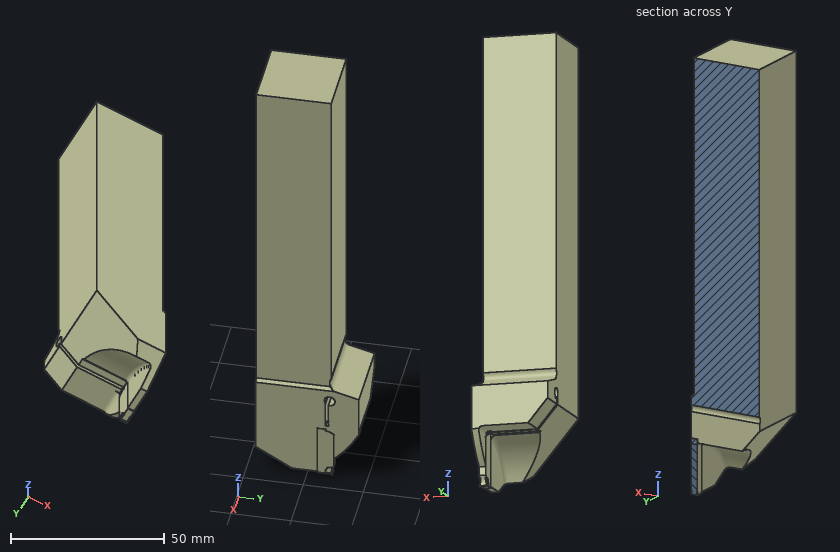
import cadquery as cq
import math

total_length = 150.0
shank_size = 25.0
head_width = 26.04
head_depth = 34.4

head_step_z = 34.0
head_step = head_width - shank_size

shoulder_angle = math.radians(15)
shoulder_outer_z = 31.85
neck_radius = 2.5
neck_tangent_y = 26.3

side_bevel_z = 26.2
side_bevel_angle = math.radians(40)
front_bevel_z = 7.8
front_bevel_angle = math.radians(30)
blade_bottom_z = 0.8

blade_face_x = 23.6
clearance_top_z = 18.3
clearance_radius = 22.0
clearance_center_y = 24.8
clearance_fillet = 1.5

jaw_bottom_z = 17.5
jaw_edge_end_z = 6.5
jaw_edge_bulge = 0.55

slot_front_y = 23.3
slot_width = 1.0
slot_bottom_z = 19.7
relief_hole_radius = 1.75
relief_hole_y = 24.7
relief_hole_z = 29.8

insert_front_y = 20.6
insert_back_y = 26.1
insert_bottom_z = 0.4
insert_corner_y = slot_front_y
insert_top_z = clearance_top_z
insert_shoulder_z = 17.7
insert_corner_z = 16.4
insert_corner_bulge = 0.25
pocket_back_y = 25.8
tip_y = 25.5
rake_top_z = 3.6
rake_step = 0.4
rake_bottom_z = 1.0
rake_hollow = 0.45
groove_front_y = 23.2
groove_top_front_y = 24.1
groove_top_z = 2.9
groove_bend_z = 1.4
groove_bottom_z = 0.7
groove_top_cut = 0.4
groove_bottom_cut = 0.15

cut_margin = 10.0


def bulged_middle(start, end, bulge):
    """Middle of an arc that bows out by `bulge` to the left of the line start -> end."""
    dy = end[0] - start[0]
    dz = end[1] - start[1]
    length = math.hypot(dy, dz)
    return (
        (start[0] + end[0]) / 2 - bulge * dz / length,
        (start[1] + end[1]) / 2 + bulge * dy / length,
    )


def side_outline():
    """Holder outline in the YZ plane, from the front bevel round to the shank top."""
    bevel_end_y = (front_bevel_z - blade_bottom_z) / math.tan(front_bevel_angle)
    jaw_edge_start = (insert_back_y, jaw_edge_end_z)
    jaw_edge_end = (head_depth, jaw_bottom_z)
    jaw_edge_middle = bulged_middle(jaw_edge_start, jaw_edge_end, -jaw_edge_bulge)

    tangent_z = shoulder_outer_z + (head_depth - neck_tangent_y) * math.tan(shoulder_angle)
    neck_center_y = neck_tangent_y + neck_radius * math.sin(shoulder_angle)
    neck_center_z = tangent_z + neck_radius * math.cos(shoulder_angle)
    neck_top_z = neck_center_z + math.sqrt(neck_radius**2 - (neck_center_y - shank_size) ** 2)
    return (
        cq.Workplane("YZ")
        .moveTo(0, front_bevel_z)
        .lineTo(bevel_end_y, blade_bottom_z)
        .lineTo(insert_back_y, blade_bottom_z)
        .lineTo(*jaw_edge_start)
        .threePointArc(jaw_edge_middle, jaw_edge_end)
        .lineTo(head_depth, shoulder_outer_z)
        .lineTo(neck_tangent_y, tangent_z)
        .threePointArc((neck_center_y - neck_radius, neck_center_z), (shank_size, neck_top_z))
        .lineTo(shank_size, total_length)
        .lineTo(0, total_length)
        .close()
    )


def front_envelope():
    """Holder silhouette in the XZ plane: side bevel on the left, head step on the right."""
    bevel_end_x = side_bevel_z * math.tan(side_bevel_angle)
    return (
        cq.Workplane("XZ")
        .moveTo(0, side_bevel_z)
        .lineTo(bevel_end_x, 0)
        .lineTo(head_width, 0)
        .lineTo(head_width, head_step_z)
        .lineTo(shank_size, head_step_z + head_step)
        .lineTo(shank_size, total_length)
        .lineTo(0, total_length)
        .close()
        .extrude(-head_depth)
    )


def blade_clearance():
    """Space beside the blade, with the root fillet rounded along its inner end."""
    center_z = clearance_top_z - clearance_radius
    arc_start_y = clearance_center_y - clearance_radius
    diagonal = clearance_radius * math.sqrt(0.5)
    return (
        cq.Workplane("YZ")
        .moveTo(arc_start_y, center_z)
        .threePointArc(
            (clearance_center_y - diagonal, center_z + diagonal),
            (clearance_center_y, clearance_top_z),
        )
        .lineTo(head_depth + cut_margin, clearance_top_z)
        .lineTo(head_depth + cut_margin, center_z)
        .close()
        .extrude(blade_face_x)
        .faces(">X")
        .edges()
        .fillet(clearance_fillet)
    )


def box_between(x_range, y_range, z_range):
    """Axis-aligned box from three (low, high) ranges."""
    sizes = [high - low for low, high in (x_range, y_range, z_range)]
    corner = (x_range[0], y_range[0], z_range[0])
    return cq.Workplane("XY").box(*sizes, centered=False).translate(corner)


def clamping_slot():
    """Slot and relief hole; below the slot end only the part beside the blade is cut."""
    slot_y = (slot_front_y, slot_front_y + slot_width)
    through = box_between((0, head_width), slot_y, (slot_bottom_z, relief_hole_z))
    beside_blade = box_between((0, blade_face_x), slot_y, (insert_top_z, slot_bottom_z))
    hole = (
        cq.Workplane("YZ")
        .center(relief_hole_y, relief_hole_z)
        .circle(relief_hole_radius)
        .extrude(head_width)
    )
    return through.union(beside_blade).union(hole)


def insert_blank():
    """Insert outline through the blade thickness, with a 45 degree relief behind the tip."""
    shoulder = (insert_corner_y, insert_shoulder_z)
    back_top = (insert_back_y, insert_corner_z)
    rake_start_y = insert_back_y - rake_step
    tip = (tip_y, 0)
    rake_start = (rake_start_y, groove_top_z)
    return (
        cq.Workplane("YZ")
        .workplane(offset=blade_face_x)
        .moveTo(insert_front_y, insert_bottom_z)
        .lineTo(insert_front_y, insert_top_z)
        .lineTo(insert_corner_y, insert_top_z)
        .lineTo(*shoulder)
        .threePointArc(bulged_middle(shoulder, back_top, insert_corner_bulge), back_top)
        .lineTo(insert_back_y, rake_top_z)
        .lineTo(*rake_start)
        .threePointArc((rake_start_y - rake_hollow, rake_bottom_z), tip)
        .lineTo(tip_y - insert_bottom_z, insert_bottom_z)
        .close()
        .extrude(head_width - blade_face_x)
    )


def side_groove():
    """Wedge cut into the insert side at the tip, deepest at its top."""
    footprint = (
        cq.Workplane("YZ")
        .workplane(offset=blade_face_x)
        .moveTo(groove_front_y, groove_bottom_z)
        .lineTo(groove_front_y, groove_bend_z)
        .lineTo(groove_top_front_y, groove_top_z)
        .lineTo(insert_back_y, groove_top_z)
        .lineTo(insert_back_y, groove_bottom_z)
        .close()
        .extrude(groove_top_cut)
    )
    wedge = (
        cq.Workplane("XZ")
        .moveTo(blade_face_x, groove_bottom_z)
        .lineTo(blade_face_x + groove_bottom_cut, groove_bottom_z)
        .lineTo(blade_face_x + groove_top_cut, groove_top_z)
        .lineTo(blade_face_x, groove_top_z)
        .close()
        .extrude(-head_depth)
    )
    return footprint.intersect(wedge)


def make_insert():
    """Cutting insert, grooved alike on both sides of the tip."""
    groove = side_groove()
    middle_x = (blade_face_x + head_width) / 2
    opposite_groove = groove.mirror("YZ", (middle_x, 0, 0))
    return insert_blank().cut(groove).cut(opposite_groove)


def make_holder():
    """Shank and head with the blade, the clamping slot and the insert seat."""
    body = side_outline().extrude(head_width).intersect(front_envelope())
    seat_access = box_between(
        (0, blade_face_x), (insert_front_y, pocket_back_y), (0, clearance_top_z)
    )
    seat_mouth = box_between(
        (blade_face_x, head_width), (insert_front_y, insert_back_y), (0, jaw_edge_end_z)
    )
    return (
        body.cut(blade_clearance())
        .cut(seat_access)
        .cut(clamping_slot())
        .cut(seat_mouth)
        .cut(insert_blank())
    )


holder = make_holder()
insert = make_insert()
result = cq.Compound.makeCompound([holder.val(), insert.val()])